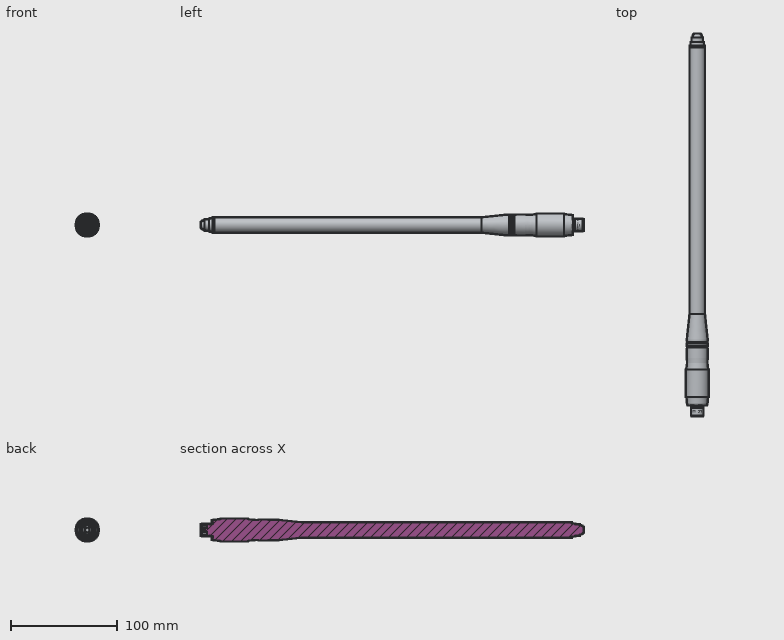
import cadquery as cq

total_length = 358.85
connector_lip_end = 0.6
connector_chamfer_end = 1.3
neck_start = 8.3
flange_start = 9.3
collar_start = 10.3
collar_chamfer_end = 12.4
collar_end = 16.8
body_start = 18.6
body_end = 44.4
shoulder_end = 50.1
grip_start = 54.8
grip_end = 72.2
tube_start = 96.0

connector_lip_dia = 10.8
connector_dia = 12.1
neck_dia = 10.92
flange_dia = 11.9
collar_face_dia = 18.3
collar_dia = 19.5
collar_rear_dia = 20.2
body_dia = 21.7
shoulder_dia = 20.8
grip_waist_dia = 19.3
grip_dia = 19.8
taper_end_dia = 14.7
tube_dia = 14.6

ramp_length = 2.2
ramp_drop = 0.3
groove_width = 1.6
groove_floor_dia = 19.0
band_start = 62.6

socket_mouth_dia = 9.4
socket_mouth_depth = 1.0
socket_dia = 8.0
socket_depth = 6.0
contact_dia = 4.0
contact_recess = 1.8
contact_hole_dia = 2.0
contact_hole_depth = 4.0

recess_dia = 14.6
recess_depth = 1.0

cap_start = total_length - 13.1
cap_end = total_length - 11.2
step_end = total_length - 8.1
nose_start = total_length - 3.9
nose_middle = total_length - 1.3

cap_dia = 14.7
step_base_dia = 13.0
step_top_dia = 12.6
stem_dia = 10.8
nose_base_dia = 9.4
nose_middle_dia = 7.8
nose_end_dia = 4.6


def rim(dia, station):
    """Profile point on a circle of the given diameter at a station along Y."""
    return (dia / 2, station)


def grooved_band():
    """Profile points of the two ring grooves and their ramps."""
    first_groove = band_start + ramp_length
    second_groove = grip_end - ramp_length - groove_width
    ramp_foot_dia = grip_dia - ramp_drop
    return [
        rim(grip_dia, band_start),
        rim(ramp_foot_dia, first_groove),
        rim(groove_floor_dia, first_groove),
        rim(groove_floor_dia, first_groove + groove_width),
        rim(grip_dia, first_groove + groove_width),
        rim(grip_dia, second_groove),
        rim(groove_floor_dia, second_groove),
        rim(groove_floor_dia, second_groove + groove_width),
        rim(ramp_foot_dia, second_groove + groove_width),
        rim(grip_dia, grip_end),
    ]


def make_outside():
    """Solid of revolution about Y that carries every outer diameter."""
    connector = [
        (0, 0),
        rim(connector_lip_dia, 0),
        rim(connector_lip_dia, connector_lip_end),
        rim(connector_dia, connector_chamfer_end),
        rim(connector_dia, neck_start),
        rim(neck_dia, neck_start),
        rim(neck_dia, flange_start),
        rim(flange_dia, flange_start),
        rim(flange_dia, collar_start),
    ]
    body = [
        rim(collar_face_dia, collar_start),
        rim(collar_dia, collar_chamfer_end),
        rim(collar_rear_dia, collar_end),
        rim(shoulder_dia, body_start),
        rim(body_dia, body_start),
        rim(body_dia, body_end),
        rim(shoulder_dia, body_end),
        rim(grip_waist_dia, shoulder_end),
        rim(grip_dia, grip_start),
    ]
    tube = [
        rim(taper_end_dia, tube_start),
        rim(tube_dia, tube_start),
        rim(tube_dia, cap_start),
    ]
    tip = [
        rim(cap_dia, cap_start),
        rim(cap_dia, cap_end),
        rim(step_base_dia, cap_end),
        rim(step_top_dia, step_end),
        rim(stem_dia, step_end),
        rim(stem_dia, nose_start),
        rim(nose_base_dia, nose_start),
    ]
    profile = (
        cq.Workplane("XY")
        .polyline(connector + body + grooved_band() + tube + tip)
        .threePointArc(rim(nose_middle_dia, nose_middle), rim(nose_end_dia, total_length))
        .lineTo(0, total_length)
        .close()
    )
    return profile.revolve(360, (0, 0, 0), (0, 1, 0))


def disc(dia, start, end):
    """Round bar about Y between two stations."""
    return cq.Workplane("XZ", origin=(0, start, 0)).circle(dia / 2).extrude(start - end)


def ring(outer_dia, inner_dia, start, end):
    """Round tube about Y between two stations."""
    return disc(outer_dia, start, end).cut(disc(inner_dia, start, end))


def cut_collar_recess(solid):
    """Sink the collar face around the flange."""
    return solid.cut(ring(recess_dia, flange_dia, collar_start, collar_start + recess_depth))


def cut_socket(solid):
    """Bore the connector, leaving a hollow centre contact."""
    solid = solid.cut(disc(socket_mouth_dia, 0, socket_mouth_depth))
    solid = solid.cut(disc(socket_dia, 0, contact_recess))
    solid = solid.cut(ring(socket_dia, contact_dia, 0, socket_depth))
    return solid.cut(disc(contact_hole_dia, 0, contact_hole_depth))


result = make_outside()
result = cut_collar_recess(result)
result = cut_socket(result)